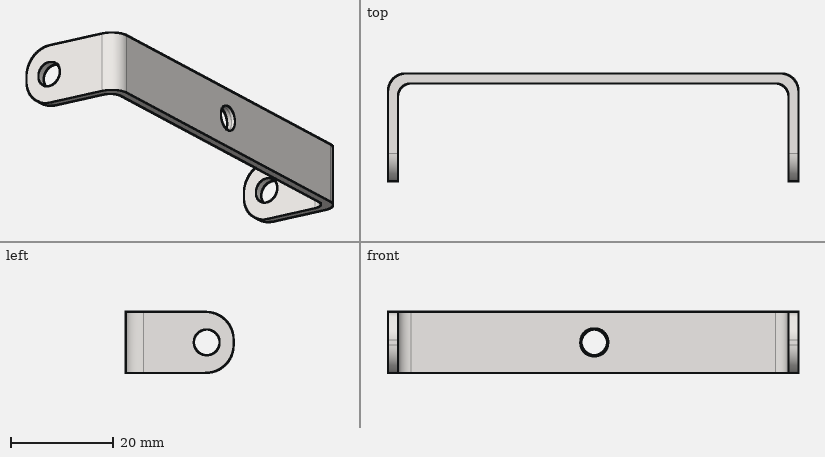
import cadquery as cq

LENGTH = 80.4
DEPTH = 21.16
HEIGHT = 12.0
THICKNESS = 2.0
OUTER_BEND_RADIUS = 3.5
INNER_BEND_RADIUS = 2.5
TIP_RADIUS = 5.5
HOLE_DIAMETER = 5.0
ARM_HOLE_TO_TIP = 5.3
WEB_HOLE_X = 0.2
WEB_MOUTH_DIAMETER = 5.5
WEB_MOUTH_DEPTH = 1.2

WEB_INNER_Y = -THICKNESS
TIP_Y = -DEPTH
ARM_HOLE_Y = TIP_Y + ARM_HOLE_TO_TIP


def make_rounded_block(length, back_y, bend_radius):
    """Full-height block from the tip plane to back_y, with its two back corners rounded."""
    return (
        cq.Workplane("XY", origin=(0, TIP_Y, 0))
        .box(length, back_y - TIP_Y, HEIGHT, centered=(True, False, True))
        .edges("|Z and >Y")
        .fillet(bend_radius)
    )


def make_strip():
    """U-shaped bent strip, open towards -Y."""
    outer = make_rounded_block(LENGTH, 0, OUTER_BEND_RADIUS)
    inner = make_rounded_block(LENGTH - 2 * THICKNESS, WEB_INNER_Y, INNER_BEND_RADIUS)
    return outer.cut(inner)


def round_arm_tips(strip):
    """Round the upper and lower corners at the tip of each arm."""
    return strip.faces("<Y").edges("|X").fillet(TIP_RADIUS)


def make_arm_holes():
    """Drill running along X through both arms."""
    return (
        cq.Workplane("YZ", origin=(0, ARM_HOLE_Y, 0))
        .circle(HOLE_DIAMETER / 2)
        .extrude(LENGTH / 2, both=True)
    )


def make_web_hole():
    """Drill along Y through the web, with a tapered mouth on the inner face."""
    drill = (
        cq.Workplane("XZ", origin=(WEB_HOLE_X, 0, 0))
        .circle(HOLE_DIAMETER / 2)
        .extrude(THICKNESS)
    )
    mouth = cq.Solid.makeCone(
        WEB_MOUTH_DIAMETER / 2,
        HOLE_DIAMETER / 2,
        WEB_MOUTH_DEPTH,
        pnt=cq.Vector(WEB_HOLE_X, WEB_INNER_Y, 0),
        dir=cq.Vector(0, 1, 0),
    )
    return drill.union(cq.Workplane(mouth))


bracket = round_arm_tips(make_strip())
result = bracket.cut(make_arm_holes()).cut(make_web_hole())